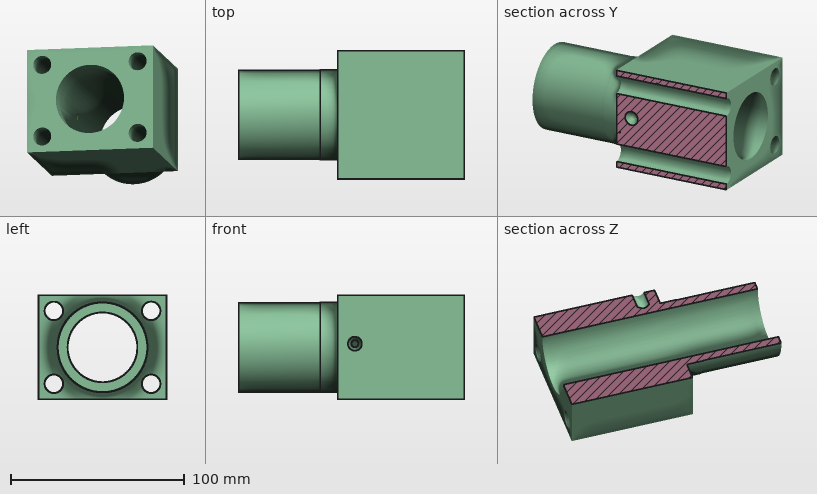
import cadquery as cq

total_length = 130.0
block_length = 73.0
block_width = 74.0
block_height = 60.0

tube_diameter = 51.5
collar_diameter = 52.0
collar_length = 9.9
bore_diameter = 40.0

mount_hole_diameter = 10.5
mount_spacing_y = 56.0
mount_spacing_z = 42.0

port_diameter = 4.0
port_mouth_diameter = 8.0
port_from_face = 10.0
port_height = 2.1
port_counterbore_depth = 10.0
port_cone_depth = (port_mouth_diameter - port_diameter) / 2

tube_length = total_length - block_length


def cylinder_along_x(diameter, start, length):
    return cq.Workplane("YZ", origin=(start, 0, 0)).circle(diameter / 2).extrude(length)


def make_block():
    return cq.Workplane("XY").box(
        block_length, block_width, block_height, centered=(False, True, True)
    )


def make_sleeve():
    tube = cylinder_along_x(tube_diameter, -tube_length, tube_length)
    collar = cylinder_along_x(collar_diameter, -collar_length, collar_length)
    return tube.union(collar)


def make_mount_holes():
    return (
        cq.Workplane("YZ")
        .rarray(mount_spacing_y, mount_spacing_z, 2, 2)
        .circle(mount_hole_diameter / 2)
        .extrude(block_length)
    )


def make_port():
    """Stepped hole from the -Y side into the main bore, with a conical seat at the step."""
    mouth_radius = port_mouth_diameter / 2
    drill_radius = port_diameter / 2
    seat_end = port_counterbore_depth + port_cone_depth
    profile = [
        (0, 0),
        (mouth_radius, 0),
        (mouth_radius, port_counterbore_depth),
        (drill_radius, seat_end),
        (drill_radius, block_width / 2),
        (0, block_width / 2),
    ]
    port = cq.Workplane("XY").polyline(profile).close().revolve(360, (0, 0), (0, 1))
    return port.translate((port_from_face, -block_width / 2, port_height))


bore = cylinder_along_x(bore_diameter, -tube_length, total_length)
result = make_block().union(make_sleeve()).cut(bore).cut(make_mount_holes()).cut(make_port())